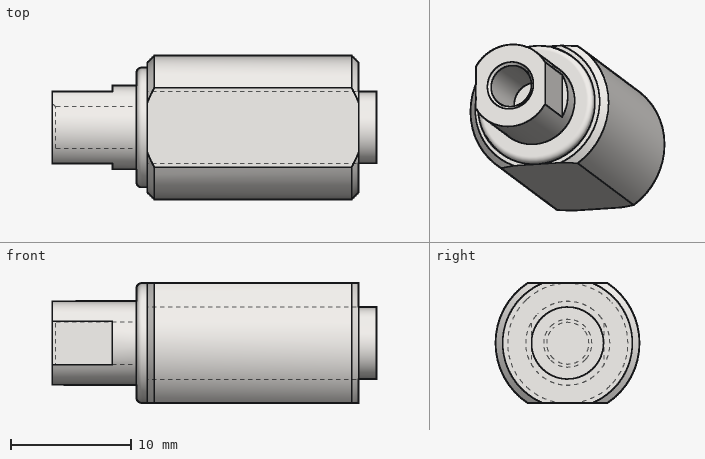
import cadquery as cq

overall_length = 27.0
shaft_diameter = 7.0
shaft_length = 7.0
collar_diameter = 10.0
collar_width = 0.9
collar_round = 0.45
core_diameter = 6.0
flat_length = 5.0
width_across_shaft_flats = 6.0
bore_diameter = 3.5
bore_mouth_diameter = 4.0
bore_depth = shaft_length

housing_diameter = 12.0
housing_height = 10.0
housing_chamfer = 0.6
rear_stub_length = 1.5
housing_start = shaft_length + collar_width
housing_length = overall_length - rear_stub_length - housing_start


def rod(start, length, diameter):
    """Solid cylinder on the X axis, running toward +X from start."""
    return cq.Workplane("YZ", origin=(start, 0, 0)).circle(diameter / 2).extrude(length)


def make_spindle():
    collar = rod(shaft_length, collar_width, collar_diameter).faces("<X").edges().fillet(collar_round)
    core = rod(shaft_length, overall_length - shaft_length, core_diameter)
    spindle = rod(0, shaft_length, shaft_diameter).union(collar).union(core)

    flat_depth = (shaft_diameter - width_across_shaft_flats) / 2
    for side in (-1, 1):
        flat_cutter = cq.Workplane("XY").box(flat_length, flat_depth, shaft_diameter).translate(
            (flat_length / 2, side * (width_across_shaft_flats + flat_depth) / 2, 0)
        )
        spindle = spindle.cut(flat_cutter)

    mouth_chamfer = (bore_mouth_diameter - bore_diameter) / 2
    bore_profile = [
        (0, 0),
        (0, bore_mouth_diameter / 2),
        (mouth_chamfer, bore_diameter / 2),
        (bore_depth, bore_diameter / 2),
        (bore_depth, 0),
    ]
    bore = cq.Workplane("XY").polyline(bore_profile).close().revolve(360, (0, 0), (1, 0))
    return spindle.cut(bore)


def make_housing():
    sleeve = rod(housing_start, housing_length, housing_diameter).edges().chamfer(housing_chamfer)
    flats_envelope = cq.Workplane("XY").box(housing_length, housing_diameter, housing_height).translate(
        (housing_start + housing_length / 2, 0, 0)
    )
    spindle_hole = rod(housing_start, housing_length, core_diameter)
    return sleeve.intersect(flats_envelope).cut(spindle_hole)


spindle = make_spindle()
housing = make_housing()

result = cq.Compound.makeCompound([spindle.solids().val(), housing.solids().val()])